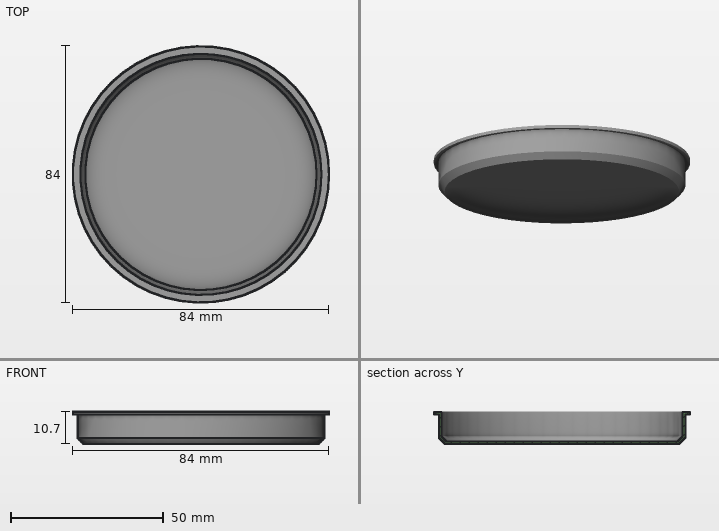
import cadquery as cq

rim_diameter = 84.0
body_diameter = 81.0
cavity_diameter = 79.0
height = 10.7

rim_thickness = 1.0
floor_thickness = 1.0
outer_bevel = 2.1
inner_bevel = 1.6

rim_radius = rim_diameter / 2
body_radius = body_diameter / 2
cavity_radius = cavity_diameter / 2

section = [
    (0, 0),
    (body_radius - outer_bevel, 0),
    (body_radius, outer_bevel),
    (body_radius, height - rim_thickness),
    (rim_radius, height - rim_thickness),
    (rim_radius, height),
    (cavity_radius, height),
    (cavity_radius, floor_thickness + inner_bevel),
    (cavity_radius - inner_bevel, floor_thickness),
    (0, floor_thickness),
]

result = cq.Workplane("XZ").polyline(section).close().revolve(360, (0, 0, 0), (0, 1, 0))